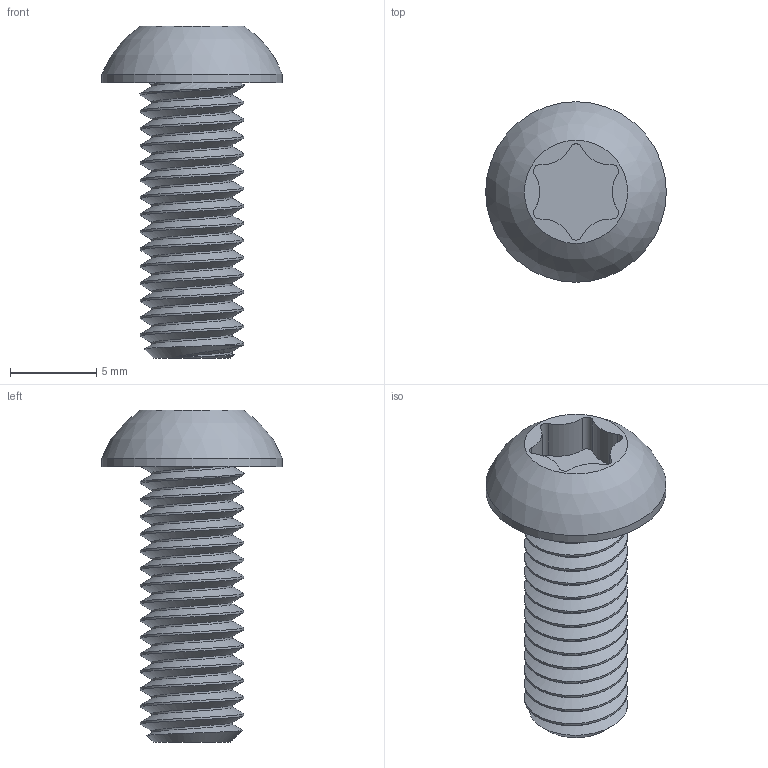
import cadquery as cq
import math

head_diameter = 10.5
head_height = 3.3
rim_height = 0.5
head_top_diameter = 6.0

thread_diameter = 6.0
pitch = 1.0
thread_length = 16.0
flank_angle = 30.0
crest_flat = pitch / 8
sharp_thread_height = pitch / (2 * math.tan(math.radians(flank_angle)))
thread_depth = sharp_thread_height * 3 / 4
first_groove_height = 0.335
tip_diameter = 4.53
seam_angle = 90.0
groove_overshoot = 0.05
groove_run_off = 2 * pitch

lobe_count = 6
recess_outer_diameter = 5.6
recess_inner_diameter = 4.22
lobe_radius = 0.35
recess_depth = 2.26


def polar_point(radius, angle):
    return (radius * math.cos(angle), radius * math.sin(angle))


def make_head():
    rim_radius = head_diameter / 2
    top_radius = head_top_diameter / 2
    dome_center = (
        top_radius**2 + head_height**2 - rim_radius**2 - rim_height**2
    ) / (2 * (head_height - rim_height))
    dome_radius = math.hypot(rim_radius, rim_height - dome_center)
    middle_height = (rim_height + head_height) / 2
    middle_radius = math.sqrt(dome_radius**2 - (middle_height - dome_center) ** 2)
    return (
        cq.Workplane("XZ")
        .lineTo(rim_radius, 0)
        .lineTo(rim_radius, rim_height)
        .threePointArc((middle_radius, middle_height), (top_radius, head_height))
        .lineTo(0, head_height)
        .close()
        .revolve(360, (0, 0), (0, 1))
    )


def make_thread_groove():
    crest_radius = thread_diameter / 2
    root_radius = crest_radius - thread_depth
    outer_radius = crest_radius + groove_overshoot
    slope = math.tan(math.radians(flank_angle))
    crest_half_width = (pitch - crest_flat) / 2
    root_half_width = crest_half_width - thread_depth * slope
    outer_half_width = crest_half_width + groove_overshoot * slope

    start = first_groove_height - thread_length - groove_run_off
    helix_height = thread_length + 2 * groove_run_off
    helix = cq.Wire.makeHelix(pitch, helix_height, root_radius, cq.Vector(0, 0, start))
    return (
        cq.Workplane("XZ")
        .moveTo(root_radius, start - root_half_width)
        .lineTo(outer_radius, start - outer_half_width)
        .lineTo(outer_radius, start + outer_half_width)
        .lineTo(root_radius, start + root_half_width)
        .close()
        .sweep(cq.Workplane(obj=helix), isFrenet=True)
    )


def make_threaded_shank():
    tip_chamfer = (thread_diameter - tip_diameter) / 2
    rod = cq.Workplane("XY").circle(thread_diameter / 2).extrude(-thread_length)
    chamfered_rod = rod.faces("<Z").chamfer(tip_chamfer)
    threaded_rod = rod.rotate((0, 0, 0), (0, 0, 1), seam_angle).cut(make_thread_groove())
    return threaded_rod.intersect(chamfered_rod)


def make_drive_recess():
    outer_radius = recess_outer_diameter / 2
    inner_radius = recess_inner_diameter / 2
    half_step = math.pi / lobe_count
    lobe_center = outer_radius - lobe_radius
    hollow_radius = (
        lobe_center**2
        + inner_radius**2
        - 2 * lobe_center * inner_radius * math.cos(half_step)
        - lobe_radius**2
    ) / (2 * (lobe_radius - inner_radius + lobe_center * math.cos(half_step)))
    hollow_center = inner_radius + hollow_radius

    share = lobe_radius / (lobe_radius + hollow_radius)
    hollow_x, hollow_y = polar_point(hollow_center, half_step)
    tangent_x = lobe_center + share * (hollow_x - lobe_center)
    tangent_y = share * hollow_y
    tangent_radius = math.hypot(tangent_x, tangent_y)
    tangent_angle = math.atan2(tangent_y, tangent_x)

    first_lobe = math.pi / 2
    outline = cq.Workplane("XY", origin=(0, 0, head_height)).moveTo(
        *polar_point(tangent_radius, first_lobe - tangent_angle)
    )
    for index in range(lobe_count):
        lobe = first_lobe + 2 * half_step * index
        next_lobe = lobe + 2 * half_step
        outline = outline.threePointArc(
            polar_point(outer_radius, lobe),
            polar_point(tangent_radius, lobe + tangent_angle),
        ).threePointArc(
            polar_point(inner_radius, lobe + half_step),
            polar_point(tangent_radius, next_lobe - tangent_angle),
        )
    return outline.close().extrude(-recess_depth)


result = make_head().union(make_threaded_shank()).cut(make_drive_recess())